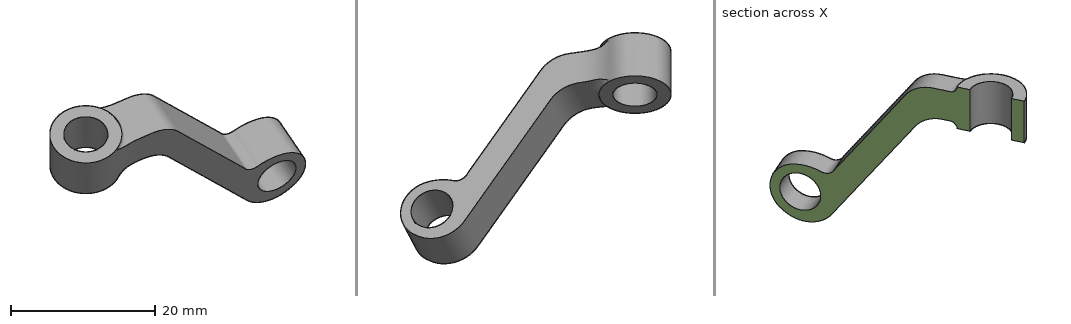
import cadquery as cq
import math

total_length = 37.7
total_height = 27.85

ring_diameter = 10.0
ring_radius = ring_diameter / 2
ring_bore = 6.1
ring_height = 7.0

arm_width = 7.0
flat_thickness = 4.98
slope_thickness = 4.05
slope_angle = math.radians(55)
outer_corner_y = 11.12
bend_radius = 5.0

side_blend_radius = 10.0

hub_bore = 6.0
hub_radius = 4.52
hub_y = total_length - ring_radius - hub_radius
hub_z = -19.53
hub_top_start_y = 28.8
hub_crown = (26.8, -15.0)
hub_top_end = (25.25, -15.4)
notch_bottom = (24.5, -15.55)
notch_end_y = 23.05
hub_belly_start_y = 30.5
hub_belly_y = 27.35
hub_belly_end_y = 23.45

ring_top = ring_height / 2
flat_top = flat_thickness / 2
half_width = arm_width / 2
hub_bottom = ring_top - total_height
inner_corner_y = (
    outer_corner_y
    + flat_thickness / math.tan(slope_angle)
    - slope_thickness / math.sin(slope_angle)
)

blend_center_x = half_width + side_blend_radius
blend_center_distance = ring_radius + side_blend_radius
neck_start_y = math.sqrt(blend_center_distance**2 - blend_center_x**2)


def slope_z(y, corner_y, corner_z):
    """Height at y of the sloping line that runs down from a bend corner."""
    return corner_z - (y - corner_y) * math.tan(slope_angle)


def hub_back_z(y, side):
    """Height at y of the round hub back, side +1 above or -1 below the bore."""
    return hub_z + side * math.sqrt(hub_radius**2 - (y - hub_y) ** 2)


def bend(body, y, z):
    """Round the sharp arm corner that runs along X at (y, z)."""
    reach = 0.05
    corner = cq.selectors.BoxSelector(
        (-half_width, y - reach, z - reach),
        (half_width, y + reach, z + reach),
    )
    return body.edges(corner).fillet(bend_radius)


def make_arm_and_hub():
    """Side profile in the YZ plane, extruded over the arm width."""
    notch_end = (notch_end_y, slope_z(notch_end_y, outer_corner_y, flat_top))
    hub_top_start = (hub_top_start_y, hub_back_z(hub_top_start_y, 1))
    belly_start = (hub_belly_start_y, hub_back_z(hub_belly_start_y, -1))
    belly_end = (hub_belly_end_y, slope_z(hub_belly_end_y, inner_corner_y, -flat_top))
    body = (
        cq.Workplane("YZ")
        .workplane(offset=-half_width)
        .moveTo(neck_start_y, flat_top)
        .lineTo(outer_corner_y, flat_top)
        .lineTo(*notch_end)
        .threePointArc(notch_bottom, hub_top_end)
        .threePointArc(hub_crown, hub_top_start)
        .threePointArc((hub_y + hub_radius, hub_z), belly_start)
        .threePointArc((hub_belly_y, hub_bottom), belly_end)
        .lineTo(inner_corner_y, -flat_top)
        .lineTo(neck_start_y, -flat_top)
        .close()
        .extrude(arm_width)
    )
    body = bend(body, outer_corner_y, flat_top)
    body = bend(body, inner_corner_y, -flat_top)
    bore = (
        cq.Workplane("YZ")
        .workplane(offset=-half_width)
        .center(hub_y, hub_z)
        .circle(hub_bore / 2)
        .extrude(arm_width)
    )
    return body.cut(bore)


def make_neck():
    """Plan outline with curved sides, limited in height by a revolved flare."""
    touch_scale = ring_radius / blend_center_distance
    touch_x = blend_center_x * touch_scale
    touch_y = neck_start_y * touch_scale
    middle_angle = math.atan2(neck_start_y, blend_center_x) / 2
    middle_x = blend_center_x - side_blend_radius * math.cos(middle_angle)
    middle_y = neck_start_y - side_blend_radius * math.sin(middle_angle)
    plan = (
        cq.Workplane("XY")
        .workplane(offset=-ring_top)
        .moveTo(0, 0)
        .lineTo(touch_x, touch_y)
        .threePointArc((middle_x, middle_y), (half_width, neck_start_y))
        .lineTo(-half_width, neck_start_y)
        .threePointArc((-middle_x, middle_y), (-touch_x, touch_y))
        .close()
        .extrude(ring_height)
    )
    flare_radius = ring_top - flat_top
    flare_outer = ring_radius + flare_radius
    rim = half_width + neck_start_y
    arc_inset = flare_radius * math.sqrt(0.5)
    arc_r = flare_outer - arc_inset
    arc_z = ring_top - arc_inset
    flare = (
        cq.Workplane("XZ")
        .moveTo(0, ring_top)
        .lineTo(ring_radius, ring_top)
        .threePointArc((arc_r, arc_z), (flare_outer, flat_top))
        .lineTo(rim, flat_top)
        .lineTo(rim, -flat_top)
        .lineTo(flare_outer, -flat_top)
        .threePointArc((arc_r, -arc_z), (ring_radius, -ring_top))
        .lineTo(0, -ring_top)
        .close()
        .revolve(360, (0, 0, 0), (0, 1, 0))
    )
    return plan.intersect(flare)


def cylinder(radius):
    """Upright cylinder on the ring axis, as tall as the ring."""
    return cq.Workplane("XY").workplane(offset=-ring_top).circle(radius).extrude(ring_height)


result = (
    make_arm_and_hub()
    .union(make_neck())
    .union(cylinder(ring_radius))
    .cut(cylinder(ring_bore / 2))
)